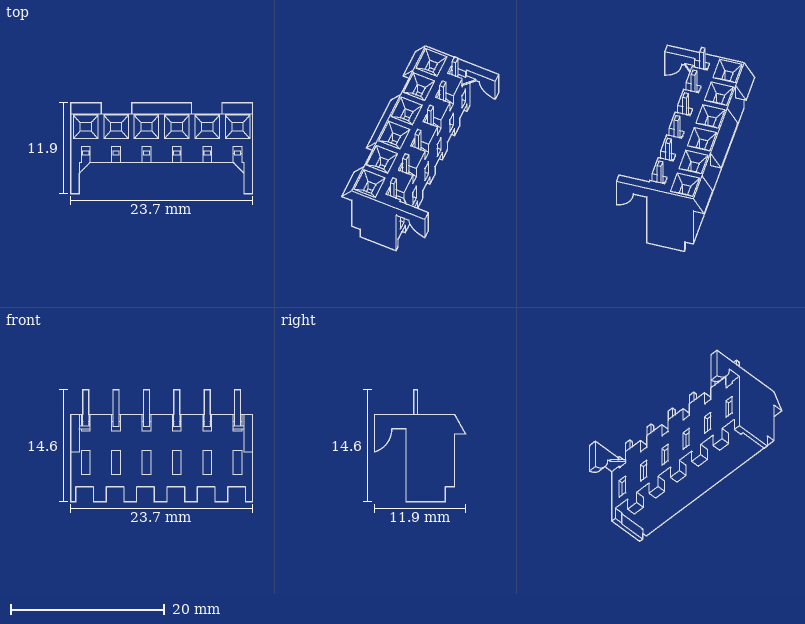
import cadquery as cq


length = 23.67
body_depth = 6.35
body_height = 11.4

contact_count = 6
pitch = 3.95
first_contact_x = (length - (contact_count - 1) * pitch) / 2
contact_xs = [first_contact_x + i * pitch for i in range(contact_count)]

foot_height = 1.96
back_step_depth = 1.2
notch_width = 2.27
first_notch_x = 0.69
leg_depth = 1.23
end_wall = 0.57

ledge_reach = 1.45
ledge_height = 2.58
end_ledge_length = 4.0
middle_ledge_length = 7.8

arm_width = 1.14
arm_reach = 4.1
arm_height = 1.9
hook_start = 1.82
hook_height = 4.92
hook_radius = 3.17
gusset_thickness = 0.38

funnel_length = 3.2
funnel_width = 3.03
funnel_depth = 1.0
funnel_center_y = 4.65
socket_length = 1.47
socket_width = 1.14
socket_depth = 2.0

slot_width = 1.14
slot_reach = 2.05
slot_back_depth = 0.97
slot_front_depth = 2.2
window_bottom = 3.55
window_height = 3.17
window_depth = 0.52

pin_length_x = 0.8
pin_width_y = 0.52
pin_center_y = 1.25
pin_top = 14.6


def box(x, y, z, size_x, size_y, size_z):
    """Box with its lowest corner at (x, y, z)."""
    return cq.Workplane("XY").box(size_x, size_y, size_z, centered=False).translate((x, y, z))


def side_outline(x):
    """Sketch plane at the given X whose local axes are Y and Z."""
    return cq.Workplane("YZ", origin=(x, 0, 0))


def ledge(x, ledge_length):
    """Triangular ledge sloping outwards and down from the top back edge."""
    return (
        side_outline(x)
        .moveTo(body_depth, body_height)
        .lineTo(body_depth + ledge_reach, body_height - ledge_height)
        .lineTo(body_depth, body_height - ledge_height)
        .close()
        .extrude(ledge_length)
    )


def arm(x):
    """Arm rooted in the front wall, with a hook rounded on its inner side."""
    arm_bottom = body_height - arm_height
    return (
        side_outline(x)
        .moveTo(0, body_height)
        .lineTo(-arm_reach, body_height)
        .lineTo(-arm_reach, body_height - hook_height)
        .radiusArc((-hook_start, arm_bottom), -hook_radius)
        .lineTo(0, arm_bottom)
        .close()
        .extrude(arm_width)
    )


def left_gusset():
    """Flat 45 degree web between the left arm and the front wall, running back into the end slot."""
    inner_x = first_contact_x + slot_width / 2
    leg = inner_x - arm_width
    return (
        cq.Workplane("XY", origin=(0, 0, body_height - arm_height))
        .moveTo(arm_width, slot_reach)
        .lineTo(arm_width, -leg)
        .lineTo(inner_x, 0)
        .lineTo(inner_x, slot_reach)
        .close()
        .extrude(gusset_thickness)
    )


def funnel(x):
    """Tapered lead-in with the blind socket under it."""
    lead_in = (
        cq.Workplane("XY", origin=(x, funnel_center_y, body_height))
        .rect(funnel_length, funnel_width)
        .workplane(offset=-funnel_depth)
        .rect(socket_length, socket_width)
        .loft(ruled=True)
    )
    socket = (
        cq.Workplane("XY", origin=(x, funnel_center_y, body_height - funnel_depth))
        .rect(socket_length, socket_width)
        .extrude(-socket_depth)
    )
    return lead_in.union(socket)


def pin_slot(x):
    """Slot open to the top and front, with a sloping floor."""
    return (
        side_outline(x - slot_width / 2)
        .moveTo(0, body_height)
        .lineTo(slot_reach, body_height)
        .lineTo(slot_reach, body_height - slot_back_depth)
        .lineTo(0, body_height - slot_front_depth)
        .close()
        .extrude(slot_width)
    )


def pin(x):
    """Rectangular pin embedded down to the lowest level of its slot."""
    pin_bottom = body_height - slot_front_depth
    return box(
        x - pin_length_x / 2, pin_center_y - pin_width_y / 2, pin_bottom,
        pin_length_x, pin_width_y, pin_top - pin_bottom,
    )


housing = box(0, 0, 0, length, body_depth, body_height)
housing = housing.cut(box(0, body_depth - back_step_depth, 0, length, back_step_depth, foot_height))

clearance_length = length - 2 * end_wall
housing = housing.cut(box(end_wall, leg_depth, 0, clearance_length, body_depth - leg_depth, foot_height))

for i, contact_x in enumerate(contact_xs):
    window_x = contact_x - slot_width / 2
    housing = housing.cut(funnel(contact_x))
    housing = housing.cut(pin_slot(contact_x))
    housing = housing.cut(box(window_x, 0, window_bottom, slot_width, window_depth, window_height))
    housing = housing.cut(box(first_notch_x + i * pitch, 0, 0, notch_width, leg_depth, foot_height))

housing = housing.union(ledge(0, end_ledge_length))
housing = housing.union(ledge((length - middle_ledge_length) / 2, middle_ledge_length))
housing = housing.union(ledge(length - end_ledge_length, end_ledge_length))

for arm_x in (0, length - arm_width):
    housing = housing.union(arm(arm_x))
gusset = left_gusset()
housing = housing.union(gusset)
housing = housing.union(gusset.mirror("YZ", (length / 2, 0, 0)))

for contact_x in contact_xs:
    housing = housing.union(pin(contact_x))

result = housing